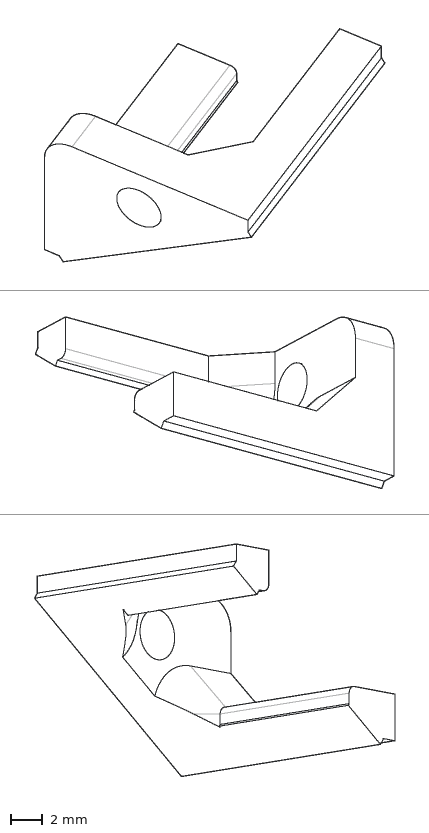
import cadquery as cq

WIDTH = 14.95
DEPTH = 17.05
HEIGHT = 11.07

CORNER_RADIUS = 2.0
LOWER_TIP_X = 1.35
LOWER_LIP_WIDTH = 0.29
LOWER_LIP_RISE = 0.41
UPPER_TIP_Z = 9.62
UPPER_LIP_WIDTH = 0.25
UPPER_LIP_RISE = 0.35
SLOPE = UPPER_TIP_Z / (WIDTH - LOWER_TIP_X)

WALL_THICKNESS = 3.0
HOLE_DIAMETER = 3.2
HOLE_X = 6.82
HOLE_Z = 8.0

LOWER_ARM_TOP = 3.4
LOWER_ARM_SIDE = 4.25
UPPER_ARM_SIDE = 11.68
UPPER_ARM_BOTTOM = 8.4
ARM_EDGE_RADIUS = 0.5
GUSSET_DEPTH = 3.0
GUSSET_ANGLE = 45.0
ARM_START = WALL_THICKNESS + GUSSET_DEPTH

LOWER_ARM_LIP_WIDTH = 0.09
UPPER_ARM_LIP_DROP = 0.32


def slope_z(x):
    """Height of the sloping face at x."""
    return SLOPE * (x - LOWER_TIP_X)


def slope_x(z):
    """X position of the sloping face at height z."""
    return LOWER_TIP_X + z / SLOPE


def xz_plane(y):
    """XZ plane at depth y whose normal points back toward -Y."""
    return cq.Workplane("XZ", origin=(0, y, 0))


def section():
    """Full-depth prism of the triangular section, without the rounded corner."""
    return (
        xz_plane(DEPTH)
        .moveTo(0, LOWER_LIP_RISE)
        .lineTo(LOWER_TIP_X - LOWER_LIP_WIDTH, LOWER_LIP_RISE)
        .lineTo(LOWER_TIP_X, 0)
        .lineTo(WIDTH, UPPER_TIP_Z)
        .lineTo(WIDTH - UPPER_LIP_WIDTH, UPPER_TIP_Z + UPPER_LIP_RISE)
        .lineTo(WIDTH - UPPER_LIP_WIDTH, HEIGHT)
        .lineTo(0, HEIGHT)
        .close()
        .extrude(DEPTH)
    )


def wall():
    """Front wall with its rounded corner and through hole."""
    slab = cq.Workplane("XY").box(WIDTH, WALL_THICKNESS, HEIGHT, centered=False)
    return (
        section()
        .intersect(slab)
        .edges("|Y and <X and >Z")
        .fillet(CORNER_RADIUS)
        .cut(xz_plane(DEPTH).center(HOLE_X, HOLE_Z).circle(HOLE_DIAMETER / 2).extrude(DEPTH))
    )


def arm_outline(y, corner_x, corner_z, x_direction):
    """Large rectangle with one rounded corner, reaching down or up and away from that corner."""
    far_x = corner_x + x_direction * WIDTH
    far_z = corner_z + x_direction * HEIGHT
    sketch = cq.Sketch().polygon(
        [(corner_x, corner_z), (far_x, corner_z), (far_x, far_z), (corner_x, far_z), (corner_x, corner_z)]
    )
    inner_corner = "<X and <Y" if x_direction > 0 else ">X and >Y"
    sketch = sketch.vertices(inner_corner).fillet(ARM_EDGE_RADIUS).reset()
    return xz_plane(y).placeSketch(sketch)


def arm(corner_x, corner_z, x_direction):
    """Arm and the gusset that widens from it toward the wall."""
    straight = arm_outline(DEPTH, corner_x, corner_z, x_direction).extrude(DEPTH - ARM_START)
    gusset = arm_outline(ARM_START, corner_x, corner_z, x_direction).extrude(
        GUSSET_DEPTH, taper=-GUSSET_ANGLE
    )
    return straight.union(gusset).intersect(section())


def arm_lip(points):
    """Triangular lip running along the straight part of an arm."""
    return xz_plane(DEPTH).polyline(points).close().extrude(DEPTH - ARM_START)


def lower_arm_lip():
    tip_x = LOWER_ARM_SIDE + LOWER_ARM_LIP_WIDTH
    tip_z = slope_z(tip_x)
    return arm_lip([
        (tip_x, tip_z),
        (LOWER_ARM_SIDE, tip_z + LOWER_ARM_LIP_WIDTH / SLOPE),
        (LOWER_ARM_SIDE, slope_z(LOWER_ARM_SIDE)),
    ])


def upper_arm_lip():
    tip_z = UPPER_ARM_BOTTOM - UPPER_ARM_LIP_DROP
    tip_x = slope_x(tip_z)
    return arm_lip([
        (tip_x, tip_z),
        (tip_x - UPPER_ARM_LIP_DROP * SLOPE, UPPER_ARM_BOTTOM),
        (slope_x(UPPER_ARM_BOTTOM), UPPER_ARM_BOTTOM),
    ])


lower_arm = arm(LOWER_ARM_SIDE, LOWER_ARM_TOP, -1).union(lower_arm_lip())
upper_arm = arm(UPPER_ARM_SIDE, UPPER_ARM_BOTTOM, 1).union(upper_arm_lip())
result = wall().union(lower_arm).union(upper_arm)